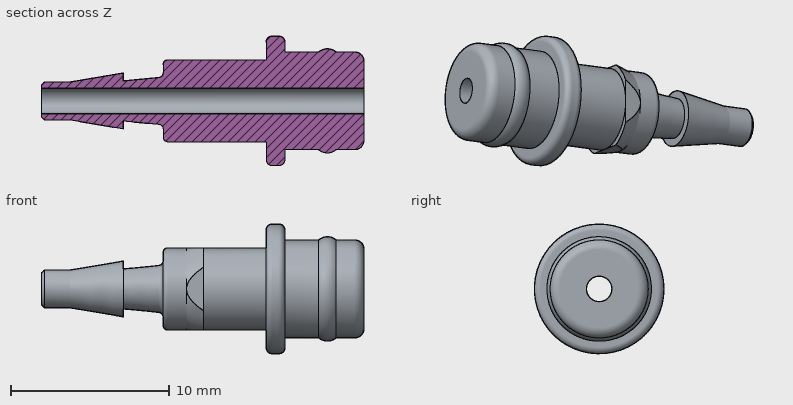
import cadquery as cq
import math

total_length = 20.4
tip_chamfer = 0.2
barb_start = 1.82
barb_end = 5.18
collar_start = 7.7
wrench_start = 9.18
wrench_end = 10.26
flange_start = 14.2
flange_width = 1.2
ring_start = 17.52
ring_width = 1.1

bore_radius = 1.6 / 2
tip_radius = 2.4 / 2
barb_radius = 3.55 / 2
neck_small_radius = 2.55 / 2
neck_large_radius = 2.98 / 2
collar_radius = 5.2 / 2
flange_radius = 8.2 / 2
plug_radius = 6.2 / 2
ring_height = 0.2

neck_fillet = 0.29
collar_fillet = 0.3
flange_fillet = 0.39
plug_fillet = 0.61

wrench_across_flats = 2 * collar_radius
flat_half_width = 1.39
wrench_corner_radius = math.hypot(collar_radius, flat_half_width)

flange_end = flange_start + flange_width
ring_end = ring_start + ring_width
arc_midpoint = math.sqrt(0.5)


def rounded_corner(profile, center, radius, middle_angle):
    """Add a quarter arc whose middle lies at middle_angle (degrees) about center."""
    cx, cr = center
    middle = math.radians(middle_angle)
    end = math.radians(middle_angle - 45)
    return profile.threePointArc(
        (cx + radius * math.cos(middle), cr + radius * math.sin(middle)),
        (cx + radius * math.cos(end), cr + radius * math.sin(end)),
    )


def revolve_about_x(profile):
    return profile.close().revolve(360, (0, 0, 0), (1, 0, 0))


def make_body():
    """Turned outline from the hose tip to the plug end, with X as its axis."""
    profile = (
        cq.Workplane("XY")
        .moveTo(0, 0)
        .lineTo(0, tip_radius - tip_chamfer)
        .lineTo(tip_chamfer, tip_radius)
        .lineTo(barb_start, tip_radius)
        .lineTo(barb_end, barb_radius)
        .lineTo(barb_end, neck_small_radius)
        .lineTo(collar_start - neck_fillet, neck_large_radius)
    )
    profile = profile.threePointArc(
        (
            collar_start - neck_fillet * (1 - arc_midpoint),
            neck_large_radius + neck_fillet * (1 - arc_midpoint),
        ),
        (collar_start, neck_large_radius + neck_fillet),
    )
    profile = profile.lineTo(collar_start, collar_radius - collar_fillet)
    collar_center = (collar_start + collar_fillet, collar_radius - collar_fillet)
    profile = rounded_corner(profile, collar_center, collar_fillet, 135)
    profile = profile.lineTo(flange_start, collar_radius)
    rim_center_radius = flange_radius - flange_fillet
    profile = profile.lineTo(flange_start, rim_center_radius)
    profile = rounded_corner(profile, (flange_start + flange_fillet, rim_center_radius), flange_fillet, 135)
    profile = profile.lineTo(flange_end - flange_fillet, flange_radius)
    profile = rounded_corner(profile, (flange_end - flange_fillet, rim_center_radius), flange_fillet, 45)
    profile = (
        profile.lineTo(flange_end, plug_radius)
        .lineTo(ring_start, plug_radius)
        .threePointArc((ring_start + ring_width / 2, plug_radius + ring_height), (ring_end, plug_radius))
        .lineTo(total_length - plug_fillet, plug_radius)
    )
    plug_center = (total_length - plug_fillet, plug_radius - plug_fillet)
    profile = rounded_corner(profile, plug_center, plug_fillet, 45)
    return revolve_about_x(profile.lineTo(total_length, 0))


def make_wrench_section():
    """Cone widening away from the hose end, trimmed to a square by four flats."""
    cone = revolve_about_x(
        cq.Workplane("XY")
        .moveTo(wrench_start, 0)
        .lineTo(wrench_start, collar_radius)
        .lineTo(wrench_end, wrench_corner_radius)
        .lineTo(wrench_end, 0)
    )
    square = (
        cq.Workplane("YZ", origin=(wrench_start, 0, 0))
        .rect(wrench_across_flats, wrench_across_flats)
        .extrude(wrench_end - wrench_start)
    )
    return cone.intersect(square)


def make_bore():
    return cq.Workplane("YZ").circle(bore_radius).extrude(total_length)


result = make_body().union(make_wrench_section()).cut(make_bore())